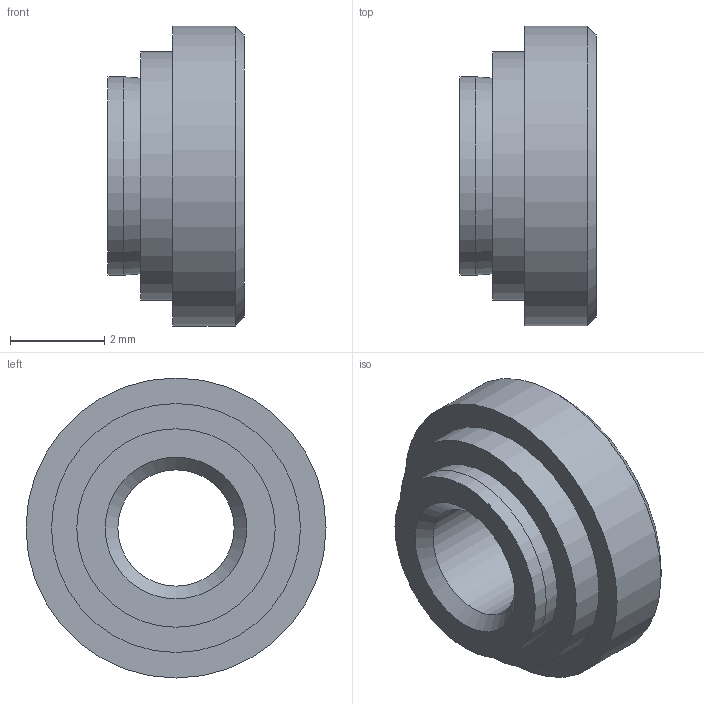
import cadquery as cq

total_length = 2.88
flange_diameter = 6.35
flange_start = 1.375
rim_chamfer = 0.19

shoulder_diameter = 5.27
shoulder_start = 0.69

pilot_diameter = 4.2
pilot_land_length = 0.33
pilot_root_diameter = 4.14

bore_diameter = 2.46
countersink_diameter = 3.0
countersink_depth = (countersink_diameter - bore_diameter) / 2


def make_body():
    """Revolve the stepped outer outline into a solid blank."""
    pilot_radius = pilot_diameter / 2
    shoulder_radius = shoulder_diameter / 2
    flange_radius = flange_diameter / 2
    outline = [
        (0, 0),
        (0, pilot_radius),
        (pilot_land_length, pilot_radius),
        (shoulder_start, pilot_root_diameter / 2),
        (shoulder_start, shoulder_radius),
        (flange_start, shoulder_radius),
        (flange_start, flange_radius),
        (total_length - rim_chamfer, flange_radius),
        (total_length, flange_radius - rim_chamfer),
        (total_length, 0),
    ]
    return cq.Workplane("XY").polyline(outline).close().revolve(360, (0, 0, 0), (1, 0, 0))


def make_bore():
    """Revolve the through bore with its countersink at the pilot face."""
    bore_radius = bore_diameter / 2
    outline = [
        (0, 0),
        (0, countersink_diameter / 2),
        (countersink_depth, bore_radius),
        (total_length, bore_radius),
        (total_length, 0),
    ]
    return cq.Workplane("XY").polyline(outline).close().revolve(360, (0, 0, 0), (1, 0, 0))


result = make_body().cut(make_bore())